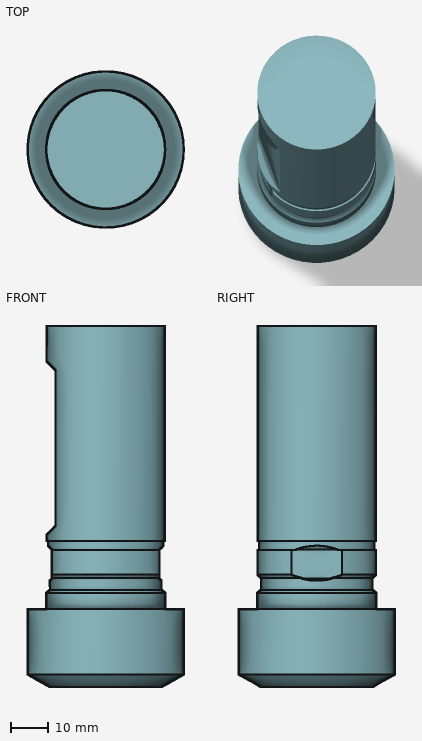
import cadquery as cq

total_height = 97
head_radius = 21.0
shank_radius = 15.9
collar_radius = 16.0
upper_groove_radius = 15.5
neck_radius = 15.0

head_top = 21.0
collar_edge = 25.3
neck_bottom = 26.1
neck_top = 29.3
ring_bottom = 30.2
ring_top = 36.8
shank_bottom = 39.3

underside_width = 6.0
underside_height = 3.4

clamp_flat_offset = 13.5
clamp_flat_bottom = 43.3
clamp_flat_top = 85.1

across_flats = 29.0
wrench_flat_bottom = 29.1
wrench_flat_top = 37.0


def turned_body():
    """Revolve the stepped half profile about Z."""
    profile = [
        (0, 0),
        (head_radius - underside_width, 0),
        (head_radius, underside_height),
        (head_radius, head_top),
        (collar_radius, head_top),
        (collar_radius, collar_edge),
        (neck_radius, neck_bottom),
        (neck_radius, neck_top),
        (collar_radius, ring_bottom),
        (collar_radius, ring_top),
        (upper_groove_radius, ring_top),
        (upper_groove_radius, shank_bottom),
        (shank_radius, shank_bottom),
        (shank_radius, total_height),
        (0, total_height),
    ]
    return cq.Workplane("XZ").polyline(profile).close().revolve(360, (0, 0), (0, 1))


def flat_cutter(offset, bottom, top, side):
    """Prism that mills a flat at x = side * offset, with 45 degree run-outs at both ends."""
    reach = head_radius - offset
    outline = [
        (side * offset, bottom),
        (side * head_radius, bottom - reach),
        (side * head_radius, top + reach),
        (side * offset, top),
    ]
    return cq.Workplane("XZ").polyline(outline).close().extrude(shank_radius, both=True)


def wrench_flat_cutter(side):
    """Wrench flat cutter, kept clear of the head and the shank."""
    cutter = flat_cutter(across_flats / 2, wrench_flat_bottom, wrench_flat_top, side)
    height = shank_bottom - neck_bottom
    groove_zone = cq.Workplane("XY", origin=(0, 0, neck_bottom)).circle(collar_radius).extrude(height)
    return cutter.intersect(groove_zone)


result = turned_body()
result = result.cut(flat_cutter(clamp_flat_offset, clamp_flat_bottom, clamp_flat_top, -1))
for side in (-1, 1):
    result = result.cut(wrench_flat_cutter(side))